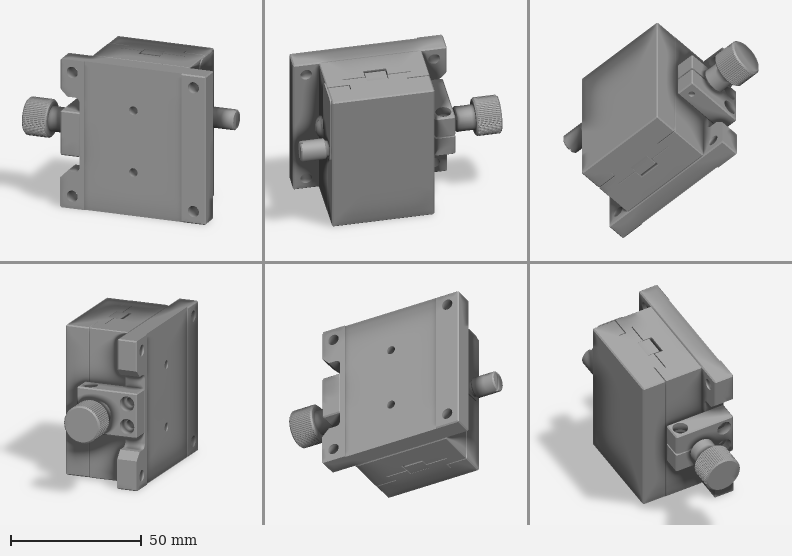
import cadquery as cq
import math

HEIGHT = 60.0
OVERALL_LENGTH = 80.5
OVERALL_DEPTH = 34.0
HALF_HEIGHT = HEIGHT / 2
EDGE_CHAMFER = 0.5
FINE_CHAMFER = 0.3

PLATE_X = 19.0
PLATE_WIDTH = HEIGHT
PLATE_THICKNESS = 8.1
PLATE_END_X = PLATE_X + PLATE_WIDTH
NOTCH_DEPTH = 8.0
NOTCH_HEIGHT = 29.95
NOTCH_MOUTH_CHAMFER = 3.0
NOTCH_FILLET = 2.0
RECESS_DEPTH = 0.5
MOUNT_HOLE_DIAMETER = 4.5
MOUNT_HOLE_INSET = 5.0
CENTRE_HOLE_DIAMETER = 3.5
CENTRE_HOLE_SPACING = 24.95

BLOCK_WIDTH = 40.0
BLOCK_X = PLATE_X + (PLATE_WIDTH - BLOCK_WIDTH) / 2
BLOCK_END_X = BLOCK_X + BLOCK_WIDTH
BLOCK_MID_X = BLOCK_X + BLOCK_WIDTH / 2
SEAM_Y = 24.0

DOVETAIL_NECK_WIDTH = 22.4
DOVETAIL_TOP_Y = 27.05
DOVETAIL_BOTTOM_Y = 20.6
DOVETAIL_ANGLE = 60
DOVETAIL_GROOVE_Y = 20.2
CARRIAGE_SLOT_CLEARANCE = 0.3
RACK_WIDTH = 8.1
RACK_GROOVE_CLEARANCE = 0.25
RACK_TOP_Y = 23.0
RACK_SETBACK = 0.1
RACK_CHANNEL_WIDTH = 8.85
RACK_CHANNEL_Y = 16.7

SPINDLE_Y = 14.9
SHAFT_DIAMETER = 4
PINION_DIAMETER = 6.0
KNOB_DIAMETER = 15.0
KNOB_LENGTH = 10.0
KNOB_CHAMFER = 0.65
HUB_DIAMETER = 10.0
HUB_END_X = 17.5
HUB_WAIST_DIAMETER = 9.75
KNURL_COUNT = 60
KNURL_DEPTH = 0.25
KNURL_WIDTH = 0.4
PINION_LENGTH = 8.4
PINION_X = BLOCK_MID_X - RACK_CHANNEL_WIDTH / 2
PINION_END_X = PINION_X + PINION_LENGTH
RACK_BOTTOM_Y = SPINDLE_Y + PINION_DIAMETER / 2

BRACKET_WIDTH = 8.0
BRACKET_DEPTH = 25.0
BRACKET_HEIGHT = 18.0
BRACKET_MID_X = PLATE_X + BRACKET_WIDTH / 2
SCREW_HOLE_DIAMETER = 3.5
COUNTERBORE_DIAMETER = 6.0
COUNTERBORE_DEPTH = 3.5
BRACKET_SCREW_Y = 4
BRACKET_SCREW_SPACING = 9.0
CLAMP_SCREW_Y = 21.1
CLAMP_THREAD_DIAMETER = 2.5
CLAMP_SLIT = 1.0

LOCK_Z = 4
LOCK_SCREW_Y = 28.25
STRIP_THICKNESS = 0.5
STRIP_BOTTOM_Y = 18.2
STRIP_BOTTOM_Z = 0
STRIP_TOP_Z = 29.6
STRIP_UPPER_RADIUS = 1.9
STRIP_LOWER_RADIUS = 3.7
STRIP_END_X = BLOCK_END_X + STRIP_THICKNESS
THUMB_DIAMETER = 8.05
THUMB_X = 70.6
THUMB_NECK_DIAMETER = 6.0
STRIP_TOP_Y = LOCK_SCREW_Y + THUMB_DIAMETER / 2
BUTTON_DIAMETER = 9.0
BUTTON_RIM_X = 69.8
BUTTON_END_X = 71.6
BUTTON_BULGE_X = 71.0
BUTTON_BULGE_RADIUS = 3.1
BUTTON_CROWN_DIAMETER = 3.0
DRIVER_SLOT = 1.0
DRIVER_SLOT_DEPTH = 1.0


def box(x0, x1, y0, y1, z0=-HALF_HEIGHT, z1=HALF_HEIGHT):
    """Axis-aligned box between two corners, full height unless told otherwise."""
    return cq.Workplane("XY").box(x1 - x0, y1 - y0, z1 - z0, centered=False).translate((x0, y0, z0))


def rod_x(diameter, x0, x1, y, z=0):
    """Round bar along X."""
    return cq.Workplane("YZ", origin=(x0, y, z)).circle(diameter / 2).extrude(x1 - x0)


def rod_y(diameter, y0, y1, x, z):
    """Round bar along Y."""
    return cq.Workplane("XZ", origin=(x, y0, z)).circle(diameter / 2).extrude(y0 - y1)


def rod_z(diameter, z0, z1, x, y):
    """Round bar along Z."""
    return cq.Workplane("XY", origin=(x, y, z0)).circle(diameter / 2).extrude(z1 - z0)


def channel(mid_x, width, y0, y1):
    """Straight full-height bar along Z, centred on mid_x."""
    return box(mid_x - width / 2, mid_x + width / 2, y0, y1)


def dovetail_flare(bottom_y, top_y):
    """Full-height bar with 60 degree flanks that pass through the neck corners at the seam."""
    def half_width(y):
        return DOVETAIL_NECK_WIDTH / 2 + (SEAM_Y - y) / math.tan(math.radians(DOVETAIL_ANGLE))

    outline = [
        (BLOCK_MID_X - half_width(bottom_y), bottom_y),
        (BLOCK_MID_X + half_width(bottom_y), bottom_y),
        (BLOCK_MID_X + half_width(top_y), top_y),
        (BLOCK_MID_X - half_width(top_y), top_y),
    ]
    return cq.Workplane("XY", origin=(0, 0, -HALF_HEIGHT)).polyline(outline).close().extrude(HEIGHT)


def rim_wedge(length):
    """Square bar along Z, turned 45 degrees, that chamfers the edge lying on its axis."""
    side = EDGE_CHAMFER * math.sqrt(2)
    return cq.Workplane("XY").rect(side, side).extrude(length / 2, both=True).rotate((0, 0, 0), (0, 0, 1), 45)


def make_plate():
    plate = box(PLATE_X, PLATE_END_X, 0, PLATE_THICKNESS)
    plate = plate.edges("|Y").chamfer(EDGE_CHAMFER)

    inner_x = PLATE_X + NOTCH_DEPTH
    half_notch = NOTCH_HEIGHT / 2
    half_mouth = half_notch + NOTCH_MOUTH_CHAMFER
    flare_x = PLATE_X + NOTCH_MOUTH_CHAMFER
    notch_outline = [
        (PLATE_X, -half_mouth), (flare_x, -half_notch), (inner_x, -half_notch),
        (inner_x, half_notch), (flare_x, half_notch), (PLATE_X, half_mouth),
    ]
    notch = cq.Workplane("XZ").polyline(notch_outline).close().extrude(-PLATE_THICKNESS)
    notch = notch.edges("|Y and >X").fillet(NOTCH_FILLET)

    relief = box(BLOCK_X, BLOCK_END_X, 0, RECESS_DEPTH)
    plate = plate.cut(notch).cut(relief)

    for y in (0, PLATE_THICKNESS):
        plate = plate.cut(rim_wedge(HEIGHT).translate((PLATE_END_X, y, 0)))
        plate = plate.cut(rim_wedge(HALF_HEIGHT).translate((PLATE_X, y, HALF_HEIGHT / 2)))
    end_rims = ((PLATE_X, PLATE_THICKNESS), (BLOCK_END_X, 0))
    for start_x, y in end_rims:
        length = PLATE_END_X - start_x
        wedge = rim_wedge(length).rotate((0, 0, 0), (0, 1, 0), 90).translate((start_x + length / 2, y, 0))
        for z in (-HALF_HEIGHT, HALF_HEIGHT):
            plate = plate.cut(wedge.translate((0, 0, z)))

    hole_x = (PLATE_X + MOUNT_HOLE_INSET, PLATE_END_X - MOUNT_HOLE_INSET)
    hole_z = HALF_HEIGHT - MOUNT_HOLE_INSET
    for z in (-hole_z, hole_z):
        for x in hole_x:
            plate = plate.cut(rod_y(MOUNT_HOLE_DIAMETER, 0, PLATE_THICKNESS, x, z))
    for z in (-CENTRE_HOLE_SPACING / 2, CENTRE_HOLE_SPACING / 2):
        plate = plate.cut(rod_y(CENTRE_HOLE_DIAMETER, 0, PLATE_THICKNESS, BLOCK_MID_X, z))
    return plate


def make_lock():
    """Lock strip with its button screw and its thumb screw, all on the +X side."""
    strip = box(BLOCK_END_X, STRIP_END_X, STRIP_BOTTOM_Y, STRIP_TOP_Y, STRIP_BOTTOM_Z, STRIP_TOP_Z)
    strip = strip.edges("|X and >Y").fillet(STRIP_UPPER_RADIUS)
    strip = strip.edges("|X and <Y").fillet(STRIP_LOWER_RADIUS)

    thumb = rod_x(THUMB_DIAMETER, THUMB_X, OVERALL_LENGTH, LOCK_SCREW_Y, LOCK_Z)
    thumb = thumb.faces("<X or >X").chamfer(EDGE_CHAMFER)
    neck = rod_x(THUMB_NECK_DIAMETER, STRIP_END_X, THUMB_X, LOCK_SCREW_Y, LOCK_Z)

    button_radius = BUTTON_DIAMETER / 2
    crown_radius = BUTTON_CROWN_DIAMETER / 2
    button = (
        cq.Workplane("XY", origin=(0, SPINDLE_Y, LOCK_Z))
        .moveTo(BLOCK_END_X, 0)
        .lineTo(BLOCK_END_X, button_radius)
        .lineTo(BUTTON_RIM_X, button_radius)
        .threePointArc((BUTTON_BULGE_X, BUTTON_BULGE_RADIUS), (BUTTON_END_X, crown_radius))
        .lineTo(BUTTON_END_X, 0)
        .close()
        .revolve(360, (0, 0, 0), (1, 0, 0))
    )
    lock = strip.union(neck).union(thumb).union(button)

    for end_x, y in ((OVERALL_LENGTH, LOCK_SCREW_Y), (BUTTON_END_X, SPINDLE_Y)):
        half_slot = DRIVER_SLOT / 2
        slot = box(end_x - DRIVER_SLOT_DEPTH, end_x, y - half_slot, y + half_slot, -HEIGHT, HEIGHT)
        lock = lock.cut(slot)
    return lock


def make_guide_block():
    """Block with the female dovetail, carrying the lock strip on its far side."""
    block = box(BLOCK_X, BLOCK_END_X, PLATE_THICKNESS, SEAM_Y)
    block = block.edges("|Y or |Z or <Y").chamfer(FINE_CHAMFER)
    block = block.cut(dovetail_flare(DOVETAIL_GROOVE_Y, SEAM_Y))
    block = block.cut(channel(BLOCK_MID_X, RACK_CHANNEL_WIDTH, RACK_CHANNEL_Y, SEAM_Y))
    bore_end_x = BLOCK_MID_X + RACK_CHANNEL_WIDTH / 2
    block = block.cut(rod_x(PINION_DIAMETER, BLOCK_X, bore_end_x, SPINDLE_Y))
    return block.union(make_lock())


def make_carriage():
    """Moving block with a straight slot for the dovetail slide."""
    carriage = box(BLOCK_X, BLOCK_END_X, SEAM_Y, OVERALL_DEPTH)
    carriage = carriage.edges().chamfer(EDGE_CHAMFER)
    slot_width = DOVETAIL_NECK_WIDTH + CARRIAGE_SLOT_CLEARANCE
    slot_mid_x = BLOCK_MID_X + CARRIAGE_SLOT_CLEARANCE / 2
    return carriage.cut(channel(slot_mid_x, slot_width, SEAM_Y, DOVETAIL_TOP_Y))


def make_dovetail_slide():
    """Male dovetail with the rack let into its underside."""
    flare = dovetail_flare(DOVETAIL_BOTTOM_Y, SEAM_Y)
    neck = channel(BLOCK_MID_X, DOVETAIL_NECK_WIDTH, SEAM_Y, DOVETAIL_TOP_Y)
    groove = channel(BLOCK_MID_X, RACK_WIDTH + RACK_GROOVE_CLEARANCE, DOVETAIL_BOTTOM_Y, RACK_TOP_Y)
    rack_mid_x = BLOCK_MID_X + RACK_GROOVE_CLEARANCE / 2
    rack_x = rack_mid_x - RACK_WIDTH / 2
    rack_end_x = rack_mid_x + RACK_WIDTH / 2
    rack_end_z = HALF_HEIGHT - RACK_SETBACK
    rack = box(rack_x, rack_end_x, RACK_BOTTOM_Y, RACK_TOP_Y, -rack_end_z, rack_end_z)
    return flare.union(neck).cut(groove).union(rack)


def make_bracket():
    """Split clamp that carries the spindle."""
    end_x = PLATE_X + BRACKET_WIDTH
    half_height = BRACKET_HEIGHT / 2
    bracket = box(PLATE_X, end_x, 0, BRACKET_DEPTH, -half_height, half_height)
    bracket = bracket.edges().chamfer(EDGE_CHAMFER)
    bracket = bracket.cut(rod_x(SHAFT_DIAMETER, PLATE_X, end_x, SPINDLE_Y))

    half_slit = CLAMP_SLIT / 2
    bracket = bracket.cut(box(PLATE_X, end_x, SPINDLE_Y, BRACKET_DEPTH, -half_slit, half_slit))

    for z in (-BRACKET_SCREW_SPACING / 2, BRACKET_SCREW_SPACING / 2):
        bracket = bracket.cut(rod_x(SCREW_HOLE_DIAMETER, PLATE_X, end_x, BRACKET_SCREW_Y, z))
        counterbore_end_x = PLATE_X + COUNTERBORE_DEPTH
        bracket = bracket.cut(rod_x(COUNTERBORE_DIAMETER, PLATE_X, counterbore_end_x, BRACKET_SCREW_Y, z))

    clamp_steps = (
        (COUNTERBORE_DIAMETER, half_height - COUNTERBORE_DEPTH, half_height),
        (SCREW_HOLE_DIAMETER, 0, half_height),
        (CLAMP_THREAD_DIAMETER, -half_height, 0),
    )
    for diameter, z0, z1 in clamp_steps:
        bracket = bracket.cut(rod_z(diameter, z0, z1, BRACKET_MID_X, CLAMP_SCREW_Y))
    return bracket


def make_spindle():
    """Knurled knob, waisted hub, shaft and pinion drum in one piece."""
    knob = rod_x(KNOB_DIAMETER, 0, KNOB_LENGTH, 0).faces("<X or >X").chamfer(KNOB_CHAMFER)
    radius = KNOB_DIAMETER / 2
    half_groove = KNURL_WIDTH / 2
    groove = (
        cq.Workplane("YZ")
        .polyline([(radius - KNURL_DEPTH, 0), (radius, half_groove), (radius, -half_groove)])
        .close()
        .extrude(KNOB_LENGTH)
        .val()
    )
    step = 360 / KNURL_COUNT
    grooves = [groove.rotate(cq.Vector(0, 0, 0), cq.Vector(1, 0, 0), step * i) for i in range(KNURL_COUNT)]
    knob = cq.Workplane(knob.val().cut(*grooves))

    hub = (
        cq.Workplane("XY")
        .moveTo(KNOB_LENGTH, 0)
        .lineTo(KNOB_LENGTH, HUB_DIAMETER / 2)
        .threePointArc(
            ((KNOB_LENGTH + HUB_END_X) / 2, HUB_WAIST_DIAMETER / 2), (HUB_END_X, HUB_DIAMETER / 2)
        )
        .lineTo(HUB_END_X, 0)
        .close()
        .revolve(360, (0, 0, 0), (1, 0, 0))
    )
    hub = hub.faces(">X").chamfer(EDGE_CHAMFER)
    shaft = rod_x(SHAFT_DIAMETER, HUB_END_X, PINION_X, 0)
    pinion = rod_x(PINION_DIAMETER, PINION_X, PINION_END_X, 0)
    return knob.union(hub).union(shaft).union(pinion).translate((0, SPINDLE_Y, 0))


plate = make_plate()
guide_block = make_guide_block()
carriage = make_carriage()
dovetail_slide = make_dovetail_slide()
bracket = make_bracket()
spindle = make_spindle()

bodies = (plate, guide_block, carriage, dovetail_slide, bracket, spindle)
result = cq.Compound.makeCompound([body.val() for body in bodies])